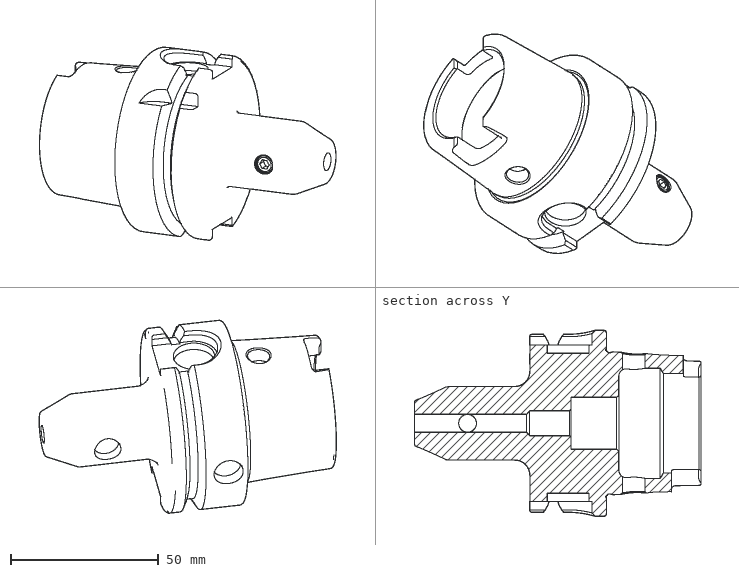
import cadquery as cq
import math


SHANK_LENGTH = 32
TAPER_RADIUS = 24
TAPER_RADIUS_X = -6.3
TAPER_SLOPE = 1 / 20
TAPER_END_X = -2.1
SHANK_EDGE_FILLET = 1
UNDERCUT_DEPTH = 0.25
UNDERCUT_START_X = -1.3
UNDERCUT_END_X = -0.65
FACE_GROOVE_OUTER_RADIUS = 25.5
FACE_GROOVE_FLOOR_RADIUS = 24.9
FACE_GROOVE_DEPTH = 0.3

FLANGE_RADIUS = 31.5
FLANGE_LENGTH = 26
FLANGE_EDGE_FILLET = 1
GROOVE_CENTER_X = 17.95
GROOVE_TOP_WIDTH = 6.8
GROOVE_FLOOR_WIDTH = 2.8
GROOVE_FLOOR_RADIUS = 27.5
GROOVE_NECK_RADIUS = 28.8
GROOVE_FLANK_ANGLE = math.radians(30)

NOSE_LENGTH = 39
NOSE_END_X = FLANGE_LENGTH + NOSE_LENGTH
NOSE_RADIUS = 12.5
NOSE_ROOT_FILLET = 5
NOSE_CONE_LENGTH = 11
NOSE_TIP_RADIUS = 7.6
NOSE_SHOULDER_FILLET = 2
NOSE_TIP_FILLET = 1

CAVITY_RADIUS = 16.8
CAVITY_MOUTH_RADIUS = 17.6
CAVITY_CHAMFER_LENGTH = 0.7
CAVITY_LIP_LENGTH = 12.8
CAVITY_UNDERCUT_RADIUS = 18.6
CAVITY_UNDERCUT_ANGLE = math.radians(60)
CAVITY_FLOOR_X = -4.2
CAVITY_FLOOR_RADIUS = 15.8

COOLANT_BORE_RADIUS = 8.75
COOLANT_BORE_CHAMFER = 0.75
COOLANT_BORE_FLOOR_X = 12
STOP_BORE_RADIUS = 4.2
STOP_BORE_CHAMFER = 0.55
STOP_BORE_END_X = 26
STOP_BORE_CONE_LENGTH = 1
TOOL_BORE_RADIUS = 3

DRIVE_SLOT_HALF_WIDTH = 6.27
DRIVE_SLOT_DEPTHS = {1: 6, -1: 10}
DRIVE_SLOT_FLARE_RADIUS = 3
DRIVE_SLOT_FLARE_Z = 18.1
DRIVE_SLOT_FLOOR_FILLET = 1.4
DRIVE_SLOT_MOUTH_CHAMFER = 0.9

CROSS_HOLE_X = -9.2
CROSS_HOLE_RADIUS = 3.75
CROSS_HOLE_CHAMFER = 0.5

KEYWAY_CENTER_X = 13
KEYWAY_HALF_WIDTH = 8
KEYWAY_FLOOR_Z = 26.5
KEYWAY_CHAMFER = 1.2
KEYWAY_RECESS_RADIUS = 7
KEYWAY_RECESS_DEPTH = 2.8

NOTCH_FLOOR_Z = 20
NOTCH_WALL_Y = -19.85
NOTCH_END_RADIUS = 7.5

CHIP_HOLE_X = 6.8
CHIP_HOLE_RADIUS = 5
CHIP_HOLE_DEPTH = 4.6

BALANCE_HOLE_X = 44.9
BALANCE_HOLE_RADIUS = 4.5
BALANCE_HOLE_DEPTH = 4

SCREW_X = NOSE_END_X - 18
SCREW_RADIUS = 3
SCREW_HOLE_MOUTH_RADIUS = 3.35
SCREW_HEAD_Y = -11.8
SCREW_TIP_Y = -2.5
SCREW_CHAMFER = 0.5
SCREW_SOCKET_FLATS = 3
SCREW_SOCKET_DEPTH = 3


def taper_radius(x):
    return TAPER_RADIUS + (x - TAPER_RADIUS_X) * TAPER_SLOPE


def revolve_about_x(outline):
    return outline.close().revolve(360, (0, 0, 0), (1, 0, 0))


def y_cylinder(x, radius, y_start, y_end):
    """Cylinder parallel to Y, from y_start to y_end, on the plane z = 0."""
    plane = cq.Plane(origin=(x, y_start, 0), xDir=(1, 0, 0), normal=(0, 1, 0))
    return cq.Workplane(plane).circle(radius).extrude(y_end - y_start)


def rounded_at(body, x, radius, fillet):
    """Fillet the circular edge of the given position and radius."""
    margin = 0.05
    lower = (x - margin, -radius - margin, -radius - margin)
    upper = (x + margin, radius + margin, radius + margin)
    edges = body.edges(cq.selectors.BoxSelector(lower, upper, boundingbox=True))
    return edges.filter(lambda edge: abs(edge.radius() - radius) < margin).fillet(fillet)


def outer_blank():
    undercut_radius = taper_radius(TAPER_END_X) - UNDERCUT_DEPTH
    blank = revolve_about_x(
        cq.Workplane("XY")
        .moveTo(-SHANK_LENGTH, 0)
        .lineTo(-SHANK_LENGTH, taper_radius(-SHANK_LENGTH))
        .lineTo(TAPER_END_X, taper_radius(TAPER_END_X))
        .lineTo(UNDERCUT_START_X, undercut_radius)
        .lineTo(UNDERCUT_END_X, undercut_radius)
        .lineTo(FACE_GROOVE_DEPTH, FACE_GROOVE_FLOOR_RADIUS)
        .lineTo(0, FACE_GROOVE_OUTER_RADIUS)
        .lineTo(0, FLANGE_RADIUS)
        .lineTo(FLANGE_LENGTH, FLANGE_RADIUS)
        .lineTo(FLANGE_LENGTH, NOSE_RADIUS)
        .lineTo(NOSE_END_X - NOSE_CONE_LENGTH, NOSE_RADIUS)
        .lineTo(NOSE_END_X, NOSE_TIP_RADIUS)
        .lineTo(NOSE_END_X, 0)
    )
    for x, radius, fillet in (
        (-SHANK_LENGTH, taper_radius(-SHANK_LENGTH), SHANK_EDGE_FILLET),
        (0, FLANGE_RADIUS, FLANGE_EDGE_FILLET),
        (FLANGE_LENGTH, FLANGE_RADIUS, FLANGE_EDGE_FILLET),
        (FLANGE_LENGTH, NOSE_RADIUS, NOSE_ROOT_FILLET),
        (NOSE_END_X - NOSE_CONE_LENGTH, NOSE_RADIUS, NOSE_SHOULDER_FILLET),
        (NOSE_END_X, NOSE_TIP_RADIUS, NOSE_TIP_FILLET),
    ):
        blank = rounded_at(blank, x, radius, fillet)
    return blank


def gripper_groove():
    flank_run = (FLANGE_RADIUS - GROOVE_NECK_RADIUS) * math.tan(GROOVE_FLANK_ANGLE)
    top = GROOVE_TOP_WIDTH / 2
    neck = top - flank_run
    floor = GROOVE_FLOOR_WIDTH / 2
    groove = revolve_about_x(
        cq.Workplane("XY")
        .moveTo(-top, FLANGE_RADIUS)
        .lineTo(-neck, GROOVE_NECK_RADIUS)
        .lineTo(-floor, GROOVE_FLOOR_RADIUS)
        .lineTo(floor, GROOVE_FLOOR_RADIUS)
        .lineTo(neck, GROOVE_NECK_RADIUS)
        .lineTo(top, FLANGE_RADIUS)
    )
    return groove.translate((GROOVE_CENTER_X, 0, 0))


def cavity_and_bore():
    mouth_x = -SHANK_LENGTH
    lip_x = mouth_x + CAVITY_LIP_LENGTH
    undercut_run = (CAVITY_UNDERCUT_RADIUS - CAVITY_RADIUS) / math.tan(CAVITY_UNDERCUT_ANGLE)
    floor_fillet = CAVITY_UNDERCUT_RADIUS - CAVITY_FLOOR_RADIUS
    diagonal = floor_fillet * (1 - math.sqrt(0.5))
    return revolve_about_x(
        cq.Workplane("XY")
        .moveTo(mouth_x, 0)
        .lineTo(mouth_x, CAVITY_MOUTH_RADIUS)
        .lineTo(mouth_x + CAVITY_CHAMFER_LENGTH, CAVITY_RADIUS)
        .lineTo(lip_x, CAVITY_RADIUS)
        .lineTo(lip_x + undercut_run, CAVITY_UNDERCUT_RADIUS)
        .lineTo(CAVITY_FLOOR_X - floor_fillet, CAVITY_UNDERCUT_RADIUS)
        .threePointArc(
            (CAVITY_FLOOR_X - diagonal, CAVITY_UNDERCUT_RADIUS - diagonal),
            (CAVITY_FLOOR_X, CAVITY_FLOOR_RADIUS),
        )
        .lineTo(CAVITY_FLOOR_X, COOLANT_BORE_RADIUS + COOLANT_BORE_CHAMFER)
        .lineTo(CAVITY_FLOOR_X + COOLANT_BORE_CHAMFER, COOLANT_BORE_RADIUS)
        .lineTo(COOLANT_BORE_FLOOR_X, COOLANT_BORE_RADIUS)
        .lineTo(COOLANT_BORE_FLOOR_X, STOP_BORE_RADIUS + STOP_BORE_CHAMFER)
        .lineTo(COOLANT_BORE_FLOOR_X + STOP_BORE_CHAMFER, STOP_BORE_RADIUS)
        .lineTo(STOP_BORE_END_X, STOP_BORE_RADIUS)
        .lineTo(STOP_BORE_END_X + STOP_BORE_CONE_LENGTH, TOOL_BORE_RADIUS)
        .lineTo(NOSE_END_X, TOOL_BORE_RADIUS)
        .lineTo(NOSE_END_X, 0)
    )


def drive_slot(side):
    """Slot whose walls flare outwards in a quarter arc near the outside of the shank."""
    depth = DRIVE_SLOT_DEPTHS[side]
    half = DRIVE_SLOT_HALF_WIDTH
    flare = DRIVE_SLOT_FLARE_RADIUS
    diagonal = flare * math.sqrt(0.5)
    center_y = half + flare
    top_z = DRIVE_SLOT_FLARE_Z + flare
    slot = (
        cq.Workplane("YZ", origin=(-SHANK_LENGTH, 0, 0))
        .moveTo(-half, 0)
        .lineTo(-half, DRIVE_SLOT_FLARE_Z)
        .threePointArc((-center_y + diagonal, DRIVE_SLOT_FLARE_Z + diagonal), (-center_y, top_z))
        .lineTo(-center_y, FLANGE_RADIUS)
        .lineTo(center_y, FLANGE_RADIUS)
        .lineTo(center_y, top_z)
        .threePointArc((center_y - diagonal, DRIVE_SLOT_FLARE_Z + diagonal), (half, DRIVE_SLOT_FLARE_Z))
        .lineTo(half, 0)
        .close()
        .extrude(depth)
    )
    floor_x = depth - SHANK_LENGTH
    margin = 0.1
    flanks = cq.selectors.BoxSelector(
        (floor_x - margin, -FLANGE_RADIUS, margin), (floor_x + margin, FLANGE_RADIUS, top_z + margin)
    )
    slot = slot.edges(flanks).fillet(DRIVE_SLOT_FLOOR_FILLET)
    mouth = DRIVE_SLOT_MOUTH_CHAMFER
    chamfer = (
        cq.Workplane("XY", origin=(-SHANK_LENGTH, 0, 0))
        .polyline([(0, -half - mouth), (0, half + mouth), (mouth, half), (mouth, -half)])
        .close()
        .extrude(FLANGE_RADIUS)
    )
    slot = slot.union(chamfer)
    return slot if side > 0 else slot.mirror("XY")


def with_cross_hole(body):
    """Drill the hole along Z and chamfer its rim at each end."""
    hole = cq.Workplane("XY", origin=(CROSS_HOLE_X, 0, 0)).circle(CROSS_HOLE_RADIUS)
    body = body.cut(hole.extrude(FLANGE_RADIUS, both=True))
    reach = CROSS_HOLE_RADIUS + CROSS_HOLE_CHAMFER
    rim_z = taper_radius(CROSS_HOLE_X)
    for z in (rim_z, -rim_z):
        rim = cq.selectors.BoxSelector(
            (CROSS_HOLE_X - reach, -reach, z - 1), (CROSS_HOLE_X + reach, reach, z + 1), boundingbox=True
        )
        body = body.edges(rim).chamfer(CROSS_HOLE_CHAMFER)
    return body


def keyway():
    """Keyway at +Z with a chamfered rim and a round recess in its floor."""
    half = KEYWAY_HALF_WIDTH
    straight = FLANGE_LENGTH - KEYWAY_CENTER_X
    slot = (
        cq.Workplane("XY", origin=(KEYWAY_CENTER_X, 0, KEYWAY_FLOOR_Z))
        .moveTo(0, -half)
        .lineTo(straight, -half)
        .lineTo(straight, half)
        .lineTo(0, half)
        .threePointArc((-half, 0), (0, -half))
        .close()
        .extrude(FLANGE_RADIUS - KEYWAY_FLOOR_Z)
    )
    drum = cq.Workplane("YZ").circle(FLANGE_RADIUS).extrude(FLANGE_LENGTH)
    margin = 1
    rim = cq.selectors.BoxSelector(
        (margin, -half - margin, KEYWAY_FLOOR_Z + margin),
        (FLANGE_LENGTH - margin, half + margin, FLANGE_RADIUS + margin),
    )
    slotted_drum = drum.cut(slot).edges(rim).chamfer(KEYWAY_CHAMFER)
    recess = (
        cq.Workplane("XY", origin=(KEYWAY_CENTER_X, 0, KEYWAY_FLOOR_Z - KEYWAY_RECESS_DEPTH))
        .circle(KEYWAY_RECESS_RADIUS)
        .extrude(KEYWAY_RECESS_DEPTH)
    )
    return drum.cut(slotted_drum).union(recess)


def orientation_notch():
    center_y = NOTCH_WALL_Y - NOTCH_END_RADIUS
    return (
        cq.Workplane("XY", origin=(KEYWAY_CENTER_X, center_y, NOTCH_FLOOR_Z))
        .moveTo(0, NOTCH_END_RADIUS)
        .lineTo(FLANGE_LENGTH, NOTCH_END_RADIUS)
        .lineTo(FLANGE_LENGTH, -NOTCH_END_RADIUS)
        .lineTo(0, -NOTCH_END_RADIUS)
        .threePointArc((-NOTCH_END_RADIUS, 0), (0, NOTCH_END_RADIUS))
        .close()
        .extrude(FLANGE_RADIUS)
    )


def chip_hole():
    return y_cylinder(CHIP_HOLE_X, CHIP_HOLE_RADIUS, FLANGE_RADIUS - CHIP_HOLE_DEPTH, FLANGE_RADIUS)


def balance_hole():
    return y_cylinder(BALANCE_HOLE_X, BALANCE_HOLE_RADIUS, NOSE_RADIUS - BALANCE_HOLE_DEPTH, NOSE_RADIUS)


def screw_hole():
    """Hole from the nose's surface to its axis, with a counterbore that reaches the screw's head."""
    hole = y_cylinder(SCREW_X, SCREW_RADIUS, -NOSE_RADIUS, 0)
    mouth = y_cylinder(SCREW_X, SCREW_HOLE_MOUTH_RADIUS, -NOSE_RADIUS, SCREW_HEAD_Y)
    return hole.union(mouth)


def make_holder():
    holder = outer_blank().cut(gripper_groove())
    holder = holder.cut(keyway()).cut(keyway().mirror("XY"))
    holder = with_cross_hole(holder.cut(cavity_and_bore()))
    for side in DRIVE_SLOT_DEPTHS:
        holder = holder.cut(drive_slot(side))
    holder = holder.cut(orientation_notch())
    holder = holder.cut(chip_hole()).cut(balance_hole())
    return holder.cut(screw_hole())


def make_screw():
    screw = y_cylinder(SCREW_X, SCREW_RADIUS, SCREW_HEAD_Y, SCREW_TIP_Y).faces("<Y").chamfer(SCREW_CHAMFER)
    socket_corner_diameter = SCREW_SOCKET_FLATS / math.cos(math.radians(30))
    head_plane = cq.Plane(origin=(SCREW_X, SCREW_HEAD_Y, 0), xDir=(1, 0, 0), normal=(0, 1, 0))
    socket = cq.Workplane(head_plane).polygon(6, socket_corner_diameter).extrude(SCREW_SOCKET_DEPTH)
    return screw.cut(socket)


holder = make_holder()
screw = make_screw()
result = cq.Compound.makeCompound([holder.val(), screw.val()])